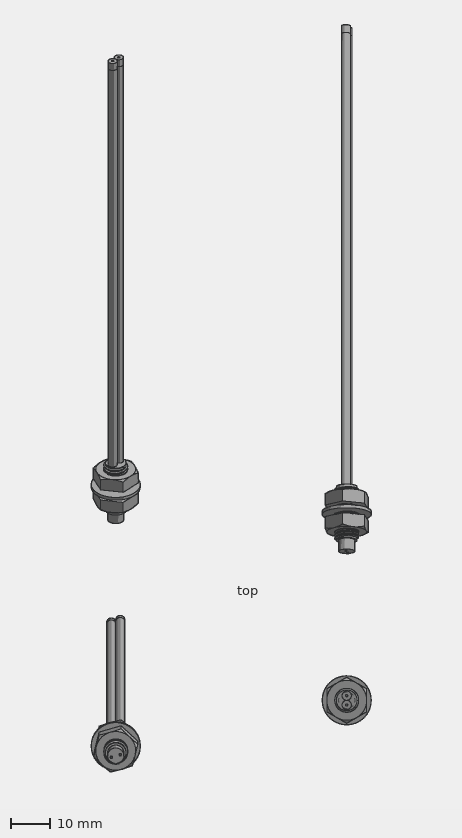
import cadquery as cq
import math

TOTAL_HEIGHT = 139.5

TIP_RADIUS = 2.1
TIP_BOTTOM = 0.3
THREAD_RADIUS = 3.1
THREAD_PITCH = 0.8
THREAD_DEPTH = 0.4
THREAD_CREST_WIDTH = 0.1
THREAD_ROOT_WIDTH = 0.7
THREAD_ROOT_OVERLAP = 0.1
CORE_RADIUS = THREAD_RADIUS - THREAD_DEPTH
BARREL_BOTTOM = 3.2
BARREL_TOP = 17.5

NUT_SIDES = 6
NUT_ACROSS_FLATS = 10.2
NUT_HEIGHT = 3.5
NUT_CHAMFER_ANGLE = 30.0
LOWER_NUT_BOTTOM = 5.5
UPPER_NUT_BOTTOM = 12.0
WASHER_RADIUS = 6.3
WASHER_BOTTOM = 10.0
WASHER_THICKNESS = 0.8

LEAD_RADIUS = 1.19
LEAD_OFFSET = LEAD_RADIUS
CONDUCTOR_RADIUS = 0.3
SLEEVE_LENGTH = 2.1
SLEEVE_BOTTOM = TOTAL_HEIGHT - SLEEVE_LENGTH


def cylinder(radius, bottom, top, y=0.0):
    """Vertical cylinder centred on X = 0."""
    return cq.Workplane("XY", origin=(0, y, bottom)).circle(radius).extrude(top - bottom)


def make_conductor(y):
    """Bare conductor over the whole height."""
    return cylinder(CONDUCTOR_RADIUS, 0, TOTAL_HEIGHT, y)


def make_thread():
    """Helical ridge that stays within the ends of the barrel, its root sunk into the core."""
    start = BARREL_BOTTOM + THREAD_PITCH / 2
    length = BARREL_TOP - BARREL_BOTTOM - THREAD_PITCH
    helix = cq.Wire.makeHelix(THREAD_PITCH, length, THREAD_RADIUS)
    ridge = (
        cq.Workplane("XZ")
        .moveTo(CORE_RADIUS - THREAD_ROOT_OVERLAP, -THREAD_ROOT_WIDTH / 2)
        .lineTo(THREAD_RADIUS, -THREAD_CREST_WIDTH / 2)
        .lineTo(THREAD_RADIUS, THREAD_CREST_WIDTH / 2)
        .lineTo(CORE_RADIUS - THREAD_ROOT_OVERLAP, THREAD_ROOT_WIDTH / 2)
        .close()
        .sweep(cq.Workplane(obj=helix), isFrenet=True)
    )
    return ridge.translate((0, 0, start))


def make_barrel():
    """Threaded barrel and sensor tip in one piece, bored for both conductors."""
    barrel = cylinder(CORE_RADIUS, BARREL_BOTTOM, BARREL_TOP).union(make_thread())
    barrel = barrel.union(cylinder(TIP_RADIUS, TIP_BOTTOM, BARREL_BOTTOM))
    for side in (-1, 1):
        barrel = barrel.cut(make_conductor(side * LEAD_OFFSET))
    return barrel


def make_nut():
    """Hex nut on Z = 0 with its corners along Y and its top corners chamfered."""
    corner_radius = NUT_ACROSS_FLATS / 2 / math.cos(math.pi / NUT_SIDES)
    flat_radius = NUT_ACROSS_FLATS / 2
    drop = (corner_radius - flat_radius) * math.tan(math.radians(NUT_CHAMFER_ANGLE))
    hexagon = (
        cq.Workplane("XY")
        .transformed(rotate=(0, 0, 90))
        .polygon(NUT_SIDES, 2 * corner_radius)
        .extrude(NUT_HEIGHT)
    )
    envelope = (
        cq.Workplane("XZ")
        .moveTo(0, 0)
        .lineTo(corner_radius, 0)
        .lineTo(corner_radius, NUT_HEIGHT - drop)
        .lineTo(flat_radius, NUT_HEIGHT)
        .lineTo(0, NUT_HEIGHT)
        .close()
        .revolve(360, (0, 0, 0), (0, 1, 0))
    )
    return hexagon.intersect(envelope).cut(cylinder(THREAD_RADIUS, 0, NUT_HEIGHT))


def make_washer():
    top = WASHER_BOTTOM + WASHER_THICKNESS
    washer = cylinder(WASHER_RADIUS, WASHER_BOTTOM, top)
    return washer.cut(cylinder(THREAD_RADIUS, WASHER_BOTTOM, top))


def make_lead(y):
    """Insulated lead whose conductor sticks out at both ends."""
    return cylinder(LEAD_RADIUS, BARREL_TOP, SLEEVE_BOTTOM, y).union(make_conductor(y))


def make_sleeve(y):
    return cylinder(LEAD_RADIUS, SLEEVE_BOTTOM, TOTAL_HEIGHT, y).cut(make_conductor(y))


barrel = make_barrel().solids().val()
washer = make_washer().solids().val()
nut = make_nut().solids().val()
upper_nut = nut.translate(cq.Vector(0, 0, UPPER_NUT_BOTTOM))
lower_nut = nut.mirror("XY").translate(cq.Vector(0, 0, LOWER_NUT_BOTTOM + NUT_HEIGHT))

leads = []
sleeves = []
for side in (-1, 1):
    leads.append(make_lead(side * LEAD_OFFSET).solids().val())
    sleeves.append(make_sleeve(side * LEAD_OFFSET).solids().val())

result = cq.Compound.makeCompound([barrel, washer, upper_nut, lower_nut, *leads, *sleeves])